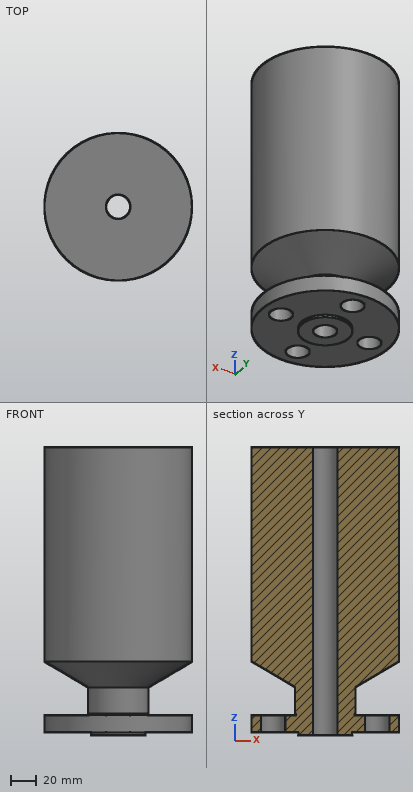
import cadquery as cq

INCH = 25.4

body_diameter = 4.62 * INCH
flange_diameter = body_diameter
neck_diameter = 1.9 * INCH
raised_face_diameter = 1.7 * INCH
bore_diameter = 0.75 * INCH
bolt_hole_diameter = 0.75 * INCH
bolt_circle_diameter = 3.25 * INCH
bolt_hole_count = 4

overall_height = 9.0 * INCH
flange_bottom = 0.09 * INCH
flange_top = 0.63 * INCH
neck_top = 1.5 * INCH
cone_top = 2.3 * INCH

neck_chamfer = 0.8
foot_ring_height = 0.4


def make_turned_profile():
    """Revolve the flange, neck, cone and cylindrical body about Z."""
    raised_face_radius = raised_face_diameter / 2
    flange_radius = flange_diameter / 2
    neck_radius = neck_diameter / 2
    body_radius = body_diameter / 2
    foot_ring_radius = neck_radius - neck_chamfer
    foot_ring_top = flange_top + foot_ring_height
    half_section = [
        (0, 0),
        (raised_face_radius, 0),
        (raised_face_radius, flange_bottom),
        (flange_radius, flange_bottom),
        (flange_radius, flange_top),
        (foot_ring_radius, flange_top),
        (foot_ring_radius, foot_ring_top),
        (neck_radius, foot_ring_top + neck_chamfer),
        (neck_radius, neck_top),
        (body_radius, cone_top),
        (body_radius, overall_height),
        (0, overall_height),
    ]
    axis_start = (0, 0, 0)
    axis_end = (0, 1, 0)
    return cq.Workplane("XZ").polyline(half_section).close().revolve(360, axis_start, axis_end)


def make_bore():
    """Bore along the whole axis."""
    return cq.Workplane("XY").circle(bore_diameter / 2).extrude(overall_height)


def make_bolt_holes():
    """Bolt holes through the flange, on the X and Y axes."""
    return (
        cq.Workplane("XY", origin=(0, 0, flange_bottom))
        .polarArray(bolt_circle_diameter / 2, 0, 360, bolt_hole_count)
        .circle(bolt_hole_diameter / 2)
        .extrude(flange_top - flange_bottom)
    )


result = make_turned_profile().cut(make_bore()).cut(make_bolt_holes())